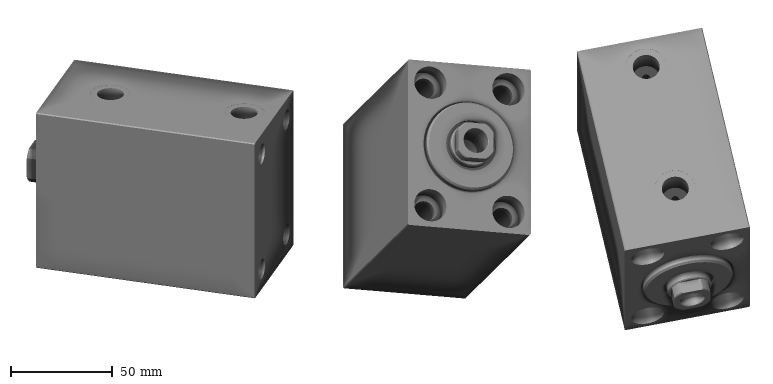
import cadquery as cq
import math


BLOCK_LENGTH = 113.0
BLOCK_WIDTH = 63.0
BLOCK_HEIGHT = 85
EDGE_CHAMFER = 0.5

BORE_DIAMETER = 44.8
BORE_DEPTH = 105
BORE_CHAMFER = 1.1

SCREW_SPACING_Y = 40
SCREW_SPACING_Z = 63.0
SCREW_HOLE_DIAMETER = 10.5
SCREW_HEAD_DIAMETER = 16.5
SCREW_HEAD_DEPTH = 11.0

PORT_POSITIONS_X = (28.5, 97.5)
PORT_SEAT_DIAMETER = 20
PORT_SEAT_DEPTH = 0.1
PORT_DIAMETER = 13.2
PORT_DEPTH = 12.0
OIL_PASSAGE_DIAMETER = 4.0

GLAND_PROTRUSION = 3.0
GLAND_INSERTION = 20
GLAND_CHAMFER_LENGTH = 1.0
GLAND_CHAMFER_HEIGHT = 0.9
WIPER_RECESS_DIAMETER = 25.5
WIPER_RECESS_DEPTH = 1.5

ROD_DIAMETER = 22.0
COLLAR_PROTRUSION = 3.0
ROD_CHAMFER = 0.5
TIP_DIAMETER = ROD_DIAMETER - 2 * ROD_CHAMFER
TIP_LENGTH = 6.0
TIP_WIDTH_ACROSS_FLATS = 18.0
ROD_HOLE_DIAMETER = 12.5
ROD_HOLE_DEPTH = 20
ROD_HOLE_CHAMFER = 0.2
DRILL_POINT_ANGLE = 118

BLOCK_TOP = BLOCK_HEIGHT / 2
GLAND_FACE_X = -GLAND_PROTRUSION
COLLAR_FACE_X = GLAND_FACE_X - COLLAR_PROTRUSION
TIP_FACE_X = COLLAR_FACE_X - TIP_LENGTH


def cylinder_along_x(diameter, start_x, end_x):
    """Cylinder on the X axis between two positions."""
    return cq.Workplane("YZ", origin=(start_x, 0, 0)).circle(diameter / 2).extrude(end_x - start_x)


def turned_about_x(profile):
    """Solid turned about the X axis from a closed half profile of (x, radius) points."""
    return cq.Workplane("XY").polyline(profile).close().revolve(360, (0, 0, 0), (1, 0, 0))


def screw_hole_cutters():
    """Four counterbored through holes at the corners of a rectangle."""
    centres = (
        cq.Workplane("YZ")
        .rect(SCREW_SPACING_Y, SCREW_SPACING_Z, forConstruction=True)
        .vertices()
    )
    shanks = centres.circle(SCREW_HOLE_DIAMETER / 2).extrude(BLOCK_LENGTH)
    heads = centres.circle(SCREW_HEAD_DIAMETER / 2).extrude(SCREW_HEAD_DEPTH)
    return shanks.union(heads)


def port_cutter(x):
    """Spot-faced port with a narrow passage down into the bore."""
    top = cq.Workplane("XY", origin=(x, 0, BLOCK_TOP))
    seat = top.circle(PORT_SEAT_DIAMETER / 2).extrude(-PORT_SEAT_DEPTH)
    port = top.circle(PORT_DIAMETER / 2).extrude(-PORT_DEPTH)
    passage = top.circle(OIL_PASSAGE_DIAMETER / 2).extrude(-BLOCK_TOP)
    return seat.union(port).union(passage)


def make_block():
    """Block with chamfered long edges, blind bore, screw holes and two oil ports."""
    block = (
        cq.Workplane("YZ")
        .rect(BLOCK_WIDTH, BLOCK_HEIGHT)
        .extrude(BLOCK_LENGTH)
        .edges("|X")
        .chamfer(EDGE_CHAMFER)
    )
    bore_radius = BORE_DIAMETER / 2
    bore = turned_about_x([
        (0, 0),
        (0, bore_radius + BORE_CHAMFER),
        (BORE_CHAMFER, bore_radius),
        (BORE_DEPTH, bore_radius),
        (BORE_DEPTH, 0),
    ])
    block = block.cut(bore).cut(screw_hole_cutters())
    for x in PORT_POSITIONS_X:
        block = block.cut(port_cutter(x))
    return block


def make_gland():
    """Guide ring that closes the bore around the rod, with a wiper recess in its face."""
    gland_radius = BORE_DIAMETER / 2
    recess_floor_x = GLAND_FACE_X + WIPER_RECESS_DEPTH
    return turned_about_x([
        (GLAND_FACE_X, WIPER_RECESS_DIAMETER / 2),
        (GLAND_FACE_X, gland_radius - GLAND_CHAMFER_HEIGHT),
        (GLAND_FACE_X + GLAND_CHAMFER_LENGTH, gland_radius),
        (GLAND_INSERTION, gland_radius),
        (GLAND_INSERTION, ROD_DIAMETER / 2),
        (recess_floor_x, ROD_DIAMETER / 2),
        (recess_floor_x, WIPER_RECESS_DIAMETER / 2),
    ])


def rod_hole_cutter():
    """Blind hole in the rod tip with a chamfered mouth and a drill point."""
    radius = ROD_HOLE_DIAMETER / 2
    floor_x = TIP_FACE_X + ROD_HOLE_DEPTH
    point_length = radius / math.tan(math.radians(DRILL_POINT_ANGLE / 2))
    return turned_about_x([
        (TIP_FACE_X, 0),
        (TIP_FACE_X, radius + ROD_HOLE_CHAMFER),
        (TIP_FACE_X + ROD_HOLE_CHAMFER, radius),
        (floor_x, radius),
        (floor_x + point_length, 0),
    ])


def make_rod():
    """Rod that runs to the bore floor, with a squared tip and a blind hole in it."""
    shaft = cylinder_along_x(ROD_DIAMETER, COLLAR_FACE_X, BORE_DEPTH).faces("<X").chamfer(ROD_CHAMFER)
    round_tip = cylinder_along_x(TIP_DIAMETER, TIP_FACE_X, COLLAR_FACE_X).faces("<X").chamfer(ROD_CHAMFER)
    square = (
        cq.Workplane("YZ", origin=(TIP_FACE_X, 0, 0))
        .rect(TIP_WIDTH_ACROSS_FLATS, TIP_WIDTH_ACROSS_FLATS)
        .extrude(TIP_LENGTH)
    )
    return shaft.union(round_tip.intersect(square)).cut(rod_hole_cutter())


block = make_block()
gland = make_gland()
rod = make_rod()

result = cq.Compound.makeCompound([block.val(), gland.val(), rod.val()])